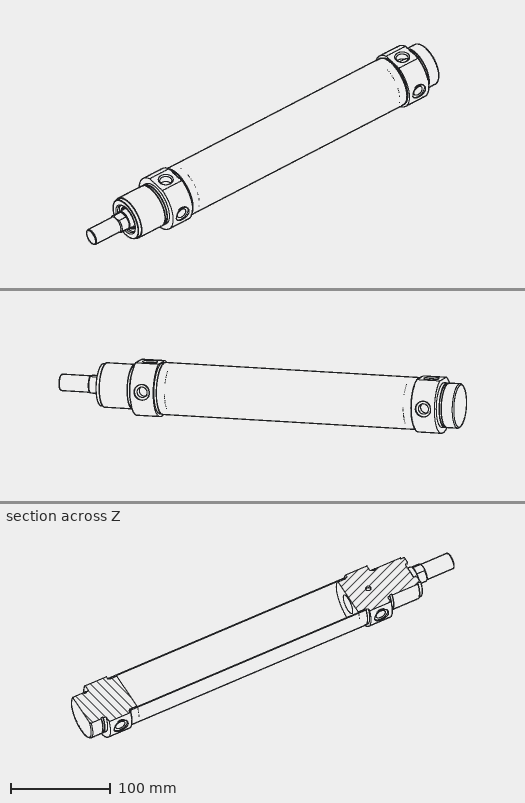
import cadquery as cq

LENGTH = 420.0

COLLAR_DIA = 57.0
COLLAR_LENGTH = 24.5
COLLAR_FLAT_Z = 26.5
NECK_DIA = 45.0
NECK_GROOVE_DIA = 43.0
LIP_DIA = 51.5
SPIGOT_LENGTH = 8.5

TUBE_DIA = 52.5
TUBE_BORE_DIA = 50.0

ROD_DIA = 20.0
ROD_NECK_DIA = 19.0
ROD_TIP_DIA = 17.0
ROD_ACROSS_FLATS = 17.0
ROD_TIP_END = 31.0
ROD_NECK_END = 40.7
ROD_TIP_CHAMFER = 1.0

HEAD_FACE = 43.3
HEAD_NOSE_DIA = 43.0
HEAD_NOSE_LENGTH = 3.8
HEAD_NOSE_CHAMFER = 0.5
HEAD_GROOVE_START = 76.5
HEAD_GROOVE_WIDTH = 2.5
HEAD_COLLAR_START = 81.5
HEAD_LIP_LENGTH = 2.5

RECESS_DIA = 30.0
RECESS_DEPTH = 3.5
RECESS_CHAMFER = 1.3
WIPER_SEAT_DIA = 24.0
WIPER_SEAT_DEPTH = 4.5
WIPER_BORE_DIA = 22.0
WIPER_BORE_DEPTH = 6.0

CAP_COLLAR_START = 377.5
CAP_LIP_LENGTH = 1.3
CAP_GROOVE_START = 405.0
CAP_GROOVE_WIDTH = 2.0
CAP_CHAMFER = 1.3

PORT_MOUTH_DIA = 15.0
PORT_DIA = 12.0
PORT_BORE_DEPTH = 8.5
ORIFICE_DIA = 5.0
CAP_RIB_DIA = 5.0

MOUNT_MOUTH_DIA = 16.0
MOUNT_MOUTH_DEPTH = 2.0
MOUNT_DIA = 10.5
MOUNT_DEPTH = 9.2

head_collar_end = HEAD_COLLAR_START + COLLAR_LENGTH
tube_start = head_collar_end + HEAD_LIP_LENGTH
head_end = tube_start + SPIGOT_LENGTH
cap_collar_end = CAP_COLLAR_START + COLLAR_LENGTH
tube_end = CAP_COLLAR_START - CAP_LIP_LENGTH
cap_start = tube_end - SPIGOT_LENGTH


def disc(diameter, start, end):
    """Cylinder on the Y axis between two stations."""
    return cq.Workplane("XZ", origin=(0, start, 0)).circle(diameter / 2).extrude(start - end)


def ring(outer_dia, inner_dia, start, end):
    """Hollow cylinder on the Y axis between two stations."""
    return disc(outer_dia, start, end).cut(disc(inner_dia, start, end))


def collar(start):
    """Wide collar with a flat on its top side."""
    above_flat = (
        cq.Workplane("XY", origin=(0, start + COLLAR_LENGTH / 2, COLLAR_FLAT_Z))
        .rect(COLLAR_DIA, COLLAR_LENGTH)
        .extrude(COLLAR_DIA / 2)
    )
    return disc(COLLAR_DIA, start, start + COLLAR_LENGTH).cut(above_flat)


def port_cutter(collar_start):
    """Bore from the top flat with a 45 degree mouth and a 45 degree conical floor."""
    mouth_radius = PORT_MOUTH_DIA / 2
    bore_radius = PORT_DIA / 2
    orifice_radius = ORIFICE_DIA / 2
    mouth_end = COLLAR_FLAT_Z - (mouth_radius - bore_radius)
    bore_end = COLLAR_FLAT_Z - PORT_BORE_DEPTH
    cone_end = bore_end - (bore_radius - orifice_radius)
    half_profile = [
        (0, COLLAR_FLAT_Z),
        (mouth_radius, COLLAR_FLAT_Z),
        (bore_radius, mouth_end),
        (bore_radius, bore_end),
        (orifice_radius, cone_end),
        (0, cone_end),
    ]
    middle = collar_start + COLLAR_LENGTH / 2
    profile = cq.Workplane("XZ", origin=(0, middle, 0)).polyline(half_profile).close()
    return profile.revolve(360, (0, 0), (0, 1))


def mount_cutter(collar_start, side):
    """Counterbored blind hole in the -X (side = -1) or +X (side = 1) flank."""
    middle = collar_start + COLLAR_LENGTH / 2
    flank = cq.Workplane("YZ", origin=(side * COLLAR_DIA / 2, middle, 0))
    mouth = flank.circle(MOUNT_MOUTH_DIA / 2).extrude(-side * MOUNT_MOUTH_DEPTH)
    hole = flank.circle(MOUNT_DIA / 2).extrude(-side * MOUNT_DEPTH)
    return mouth.union(hole)


def cut_collar_holes(body, collar_start):
    body = body.cut(port_cutter(collar_start))
    for side in (-1, 1):
        body = body.cut(mount_cutter(collar_start, side))
    return body


def make_head():
    """Front head: nose, grooved neck, collar, lip and a spigot inside the tube."""
    nose_end = HEAD_FACE + HEAD_NOSE_LENGTH
    groove_end = HEAD_GROOVE_START + HEAD_GROOVE_WIDTH
    nose = disc(HEAD_NOSE_DIA, HEAD_FACE, nose_end).faces("<Y").chamfer(HEAD_NOSE_CHAMFER)
    body = (
        disc(NECK_DIA, nose_end, HEAD_COLLAR_START)
        .cut(ring(NECK_DIA, NECK_GROOVE_DIA, HEAD_GROOVE_START, groove_end))
        .union(nose)
        .union(collar(HEAD_COLLAR_START))
        .union(disc(LIP_DIA, head_collar_end, tube_start))
        .union(disc(TUBE_BORE_DIA, tube_start, head_end))
    )
    body = cut_collar_holes(body, HEAD_COLLAR_START)

    body = body.cut(disc(RECESS_DIA, HEAD_FACE, HEAD_FACE + RECESS_DEPTH))
    body = body.faces("<Y").edges(cq.selectors.RadiusNthSelector(0)).chamfer(RECESS_CHAMFER)
    body = body.cut(disc(WIPER_SEAT_DIA, HEAD_FACE, HEAD_FACE + WIPER_SEAT_DEPTH))
    body = body.cut(disc(WIPER_BORE_DIA, HEAD_FACE, HEAD_FACE + WIPER_BORE_DEPTH))
    body = body.cut(disc(ROD_DIA, HEAD_FACE, head_end))

    middle = HEAD_COLLAR_START + COLLAR_LENGTH / 2
    orifice = (
        cq.Workplane("XY", origin=(0, middle, 0))
        .circle(ORIFICE_DIA / 2)
        .extrude(COLLAR_FLAT_Z)
    )
    return body.cut(orifice)


def make_cap():
    """Rear cap: grooved neck, collar, lip and a spigot inside the tube."""
    groove_end = CAP_GROOVE_START + CAP_GROOVE_WIDTH
    body = (
        disc(NECK_DIA, cap_collar_end, LENGTH)
        .faces(">Y")
        .chamfer(CAP_CHAMFER)
        .cut(ring(NECK_DIA, NECK_GROOVE_DIA, CAP_GROOVE_START, groove_end))
        .union(collar(CAP_COLLAR_START))
        .union(disc(LIP_DIA, tube_end, CAP_COLLAR_START))
        .union(disc(TUBE_BORE_DIA, cap_start, tube_end))
    )
    body = cut_collar_holes(body, CAP_COLLAR_START)

    middle = CAP_COLLAR_START + COLLAR_LENGTH / 2
    rib_z = COLLAR_FLAT_Z - PORT_BORE_DEPTH
    rib = disc(CAP_RIB_DIA, middle - PORT_DIA / 2, middle + PORT_DIA / 2).translate((0, 0, rib_z))
    return body.union(rib)


def make_tube():
    return ring(TUBE_DIA, TUBE_BORE_DIA, tube_start, tube_end)


def make_rod():
    """Rod: tip, neck with two wrench flats, and the full diameter in the head."""
    tip = disc(ROD_TIP_DIA, 0, ROD_TIP_END).faces("<Y").chamfer(ROD_TIP_CHAMFER)
    neck_chamfer = (ROD_NECK_DIA - ROD_TIP_DIA) / 2
    neck = disc(ROD_NECK_DIA, ROD_TIP_END, ROD_NECK_END).faces("<Y").chamfer(neck_chamfer)
    between_flats = (
        cq.Workplane("XY", origin=(0, (ROD_TIP_END + ROD_NECK_END) / 2, 0))
        .box(ROD_NECK_DIA, ROD_NECK_END - ROD_TIP_END, ROD_ACROSS_FLATS)
    )
    shoulder_chamfer = (ROD_DIA - ROD_NECK_DIA) / 2
    shank = disc(ROD_DIA, ROD_NECK_END, head_end).faces("<Y").chamfer(shoulder_chamfer)
    return shank.union(neck.intersect(between_flats)).union(tip)


head = make_head().solids()
cap = make_cap().solids()
tube = make_tube().solids()
rod = make_rod().solids()

result = cq.Compound.makeCompound([head.val(), cap.val(), tube.val(), rod.val()])